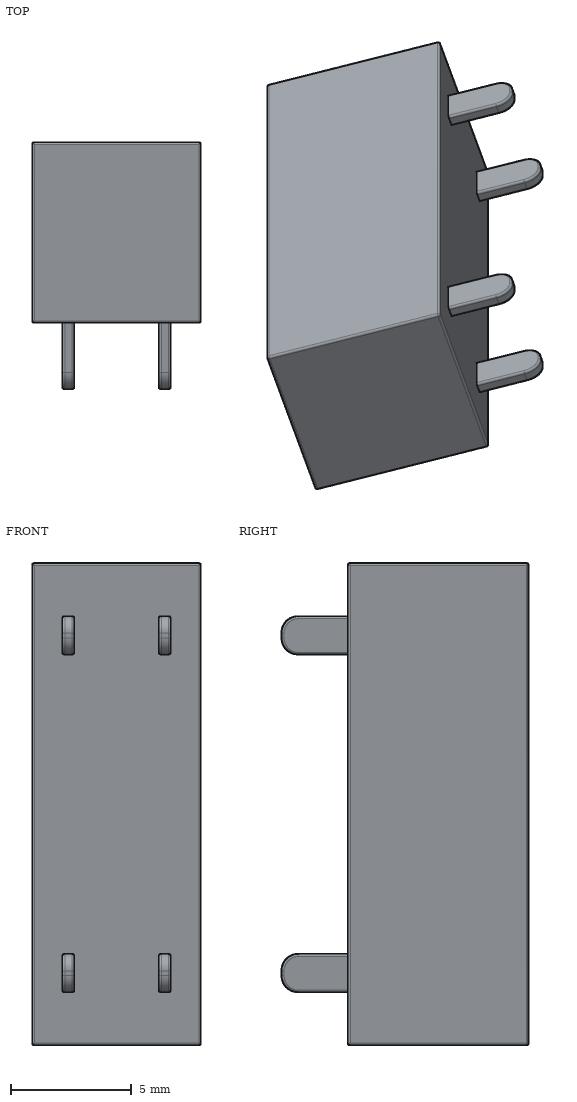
import cadquery as cq

housing_width = 7.0
housing_depth = 7.5
housing_height = 20.0
housing_edge_radius = 0.1

strip_thickness = 0.5
strip_width = 1.6
strip_edge_radius = 0.1
blade_reach = 2.75
blade_corner_radius = 0.7
column_pitch = 4.0
row_pitch = 14.0

blade_tip_y = -housing_depth / 2 - blade_reach
bridge_back_y = strip_width / 2
bridge_front_y = -strip_width / 2
outer_z = (row_pitch + strip_width) / 2
inner_z = (row_pitch - strip_width) / 2


def make_terminal(x):
    """U-shaped strip in a plane of constant X, with rounded blade tips and edges."""
    outline = [
        (blade_tip_y, -outer_z),
        (bridge_back_y, -outer_z),
        (bridge_back_y, outer_z),
        (blade_tip_y, outer_z),
        (blade_tip_y, inner_z),
        (bridge_front_y, inner_z),
        (bridge_front_y, -inner_z),
        (blade_tip_y, -inner_z),
    ]
    strip = cq.Workplane("YZ").polyline(outline).close().extrude(strip_thickness / 2, both=True)
    strip = strip.edges("|X and <Y").fillet(blade_corner_radius)
    strip = strip.faces("<X or >X").edges().fillet(strip_edge_radius)
    return strip.translate((x, 0, 0))


def make_housing(terminals):
    """Block with rounded edges and a fitting recess for each terminal."""
    block = cq.Workplane("XY").box(housing_width, housing_depth, housing_height)
    block = block.edges().fillet(housing_edge_radius)
    for terminal in terminals:
        block = block.cut(terminal)
    return block


terminals = [make_terminal(side * column_pitch / 2) for side in (-1, 1)]
housing = make_housing(terminals)

result = cq.Compound.makeCompound(
    [housing.solids().val()] + [terminal.solids().val() for terminal in terminals]
)